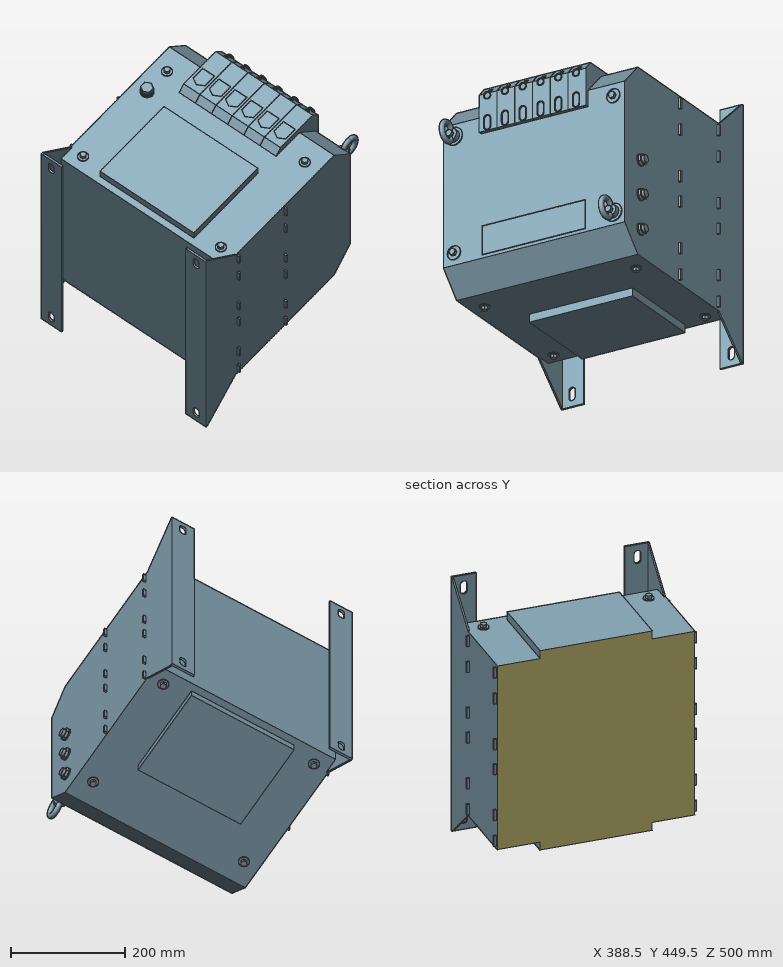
import cadquery as cq


WIDTH = 371.0
HALF_WIDTH = WIDTH / 2
HALF_HEIGHT = 181.0
FRONT_Y = 51.5
BACK_Y = 402.5
BACK_CHAMFER = 45.0

SHEET = 3.0
FLANGE_THICKNESS = 4.0
FLANGE_WIDTH = 46.0
FOOT_HALF_HEIGHT = 250.0
FLARE_START_Y = 82.5
SLOT_X = 163.0
SLOT_Z = 225.5
SLOT_LENGTH = 25.5
SLOT_WIDTH = 13.0

TAB_Y = (88.5, 219.0)
TAB_Z = (24.5, 114.5, 165.5)
TAB_PROJECTION = 5.0
TAB_THICKNESS = 3.5
TAB_LENGTH = 20.5

COVER_HALF_WIDTH = 105.5
COVER_Y = (65.0, 243.5)
COVER_THICKNESS = 15.5


COVER_BOLT_X = 155.0
COVER_BOLT_Y = (79.0, 313.0)
COVER_BOLT_WASHER = (19.5, 2.0)
COVER_BOLT_HEAD = (12.0, 6.0)

PLUG_X = -154.5
PLUG_Y = 257.0
PLUG_BASE = (23.5, 2.5)
PLUG_COLLAR = (25.0, 3.0)
PLUG_NECK = (23.0, 2.0)
PLUG_HEAD = (23.0, 8.0)

EARTH_STUD_Y = 350.0
EARTH_STUD_TOP_Z = 4.0
EARTH_STUD_PITCH = 67.0
EARTH_STUD_COUNT = 3
EARTH_WASHER = (22.0, 2.0)
EARTH_NUT = (22.0, 5.0)
EARTH_STUD = (14.5, 5.5)

BACK_FASTENER_X = 163.0
BACK_FASTENER_Z = 112.5
EYE_TOP_Y = 449.5
EYE_RING_RADIUS = 17.5
EYE_WIRE_RADIUS = 5.0
EYE_WASHER = (34.0, 2.0)
EYE_COLLAR = (23.5, 10.5)
EYE_STUD = (13.0, 7.0)
BACK_WASHER = (26.5, 2.0)
BACK_HEAD = (13.0, 6.0)

PLATE_Z = (-130.0, -74.5)
PLATE_THICKNESS = 2.0

TERMINAL_COUNT = 6
BLOCK_LENGTH = 218.0
TERMINAL_PITCH = BLOCK_LENGTH / TERMINAL_COUNT
BLOCK_LEFT_X = -110.5
BLOCK_FRONT_Y = 292.0
BLOCK_BACK_Y = 410.0
BLOCK_BOTTOM_Z = 104.5
BLOCK_TOP_Z = 193.5
BLOCK_BACK_CHAMFER_Y = 16.0
BLOCK_BACK_CHAMFER_Z = 17.5
JOINT_WIDTH = 0.3
JOINT_DEPTH = 0.5
WINDOW_WIDTH = 26.5
WINDOW_BACK_Y = 351.5
WINDOW_SHOULDER_Y = 325.0
WINDOW_TIP_Y = 317.5
WINDOW_DEPTH = 1.0
MARK_WIDTH = 7.0
MARK_HEIGHT = 6.0
MARK_DEPTH = 1.0
BUTTON_STEM = (11.0, 2.5)
BUTTON_CAP = (14.0, 1.5)
BUTTON_Z = 170.5
LEVER_Z = 118.5
LEVER_LENGTH = 29.0


def box(x_range, y_range, z_range):
    size = [high - low for low, high in (x_range, y_range, z_range)]
    corner = (x_range[0], y_range[0], z_range[0])
    return cq.Workplane("XY").box(*size, centered=False).translate(corner)


def face_plane(origin, outward):
    """Plane on an outer face; its local x is world Y on a side face and world X elsewhere."""
    local_x = (0, 1, 0) if outward[0] else (1, 0, 0)
    return cq.Plane(origin=origin, xDir=local_x, normal=outward)


def disc(plane, base, size):
    diameter, height = size
    return cq.Workplane(plane).workplane(offset=base).circle(diameter / 2).extrude(height)


def hexagon(plane, base, size, turn=0):
    across_corners, height = size
    prism = cq.Workplane(plane).workplane(offset=base).transformed(rotate=(0, 0, turn))
    return prism.polygon(6, across_corners).extrude(height)


def bolt(plane, washer, head):
    return disc(plane, 0, washer).union(hexagon(plane, washer[1], head))


def side_outline(plane, foot):
    """Chamfered side profile in Y and Z; `foot` lists the points of its upper front end."""
    upper = foot + [
        (BACK_Y - BACK_CHAMFER, HALF_HEIGHT),
        (BACK_Y, HALF_HEIGHT - BACK_CHAMFER),
    ]
    lower = [(y, -z) for y, z in reversed(upper)]
    return cq.Workplane(plane).polyline(upper + lower).close()


def make_housing():
    core = side_outline("YZ", [(FRONT_Y, HALF_HEIGHT)])
    return core.extrude(HALF_WIDTH - SHEET, both=True)


def make_side_bracket(side):
    """Flared side sheet with a slotted mounting flange; `side` is -1 or 1."""
    flared_foot = [
        (0, FOOT_HALF_HEIGHT),
        (FLANGE_THICKNESS, FOOT_HALF_HEIGHT),
        (FLARE_START_Y, HALF_HEIGHT),
    ]
    outer_x = side * HALF_WIDTH
    sheet = side_outline("YZ", flared_foot).extrude(-side * SHEET).translate((outer_x, 0, 0))
    flange_x = sorted((outer_x, outer_x - side * FLANGE_WIDTH))
    foot_z = (-FOOT_HALF_HEIGHT, FOOT_HALF_HEIGHT)
    flange = box(flange_x, (0, FLANGE_THICKNESS), foot_z)
    slots = (
        cq.Workplane("XZ")
        .pushPoints([(side * SLOT_X, SLOT_Z), (side * SLOT_X, -SLOT_Z)])
        .slot2D(SLOT_LENGTH, SLOT_WIDTH, 90)
        .extrude(-FLANGE_THICKNESS)
    )
    return sheet.union(flange.cut(slots))


def make_tabs():
    full_width = WIDTH + 2 * TAB_PROJECTION
    centers = [(y, sign * z) for y in TAB_Y for z in TAB_Z for sign in (-1, 1)]
    bars = cq.Workplane("YZ").pushPoints(centers).rect(TAB_THICKNESS, TAB_LENGTH)
    return bars.extrude(full_width / 2, both=True)


def make_covers():
    cover_reach = HALF_HEIGHT + COVER_THICKNESS
    cover_x = (-COVER_HALF_WIDTH, COVER_HALF_WIDTH)
    upper = box(cover_x, COVER_Y, (HALF_HEIGHT, cover_reach))
    lower = box(cover_x, COVER_Y, (-cover_reach, -HALF_HEIGHT))
    return [upper, lower]


def make_cover_bolts():
    bolts = []
    for side in (-1, 1):
        for x in (-COVER_BOLT_X, COVER_BOLT_X):
            for y in COVER_BOLT_Y:
                plane = face_plane((x, y, side * HALF_HEIGHT), (0, 0, side))
                bolts.append(bolt(plane, COVER_BOLT_WASHER, COVER_BOLT_HEAD))
    return bolts


def make_plug():
    plane = face_plane((PLUG_X, PLUG_Y, HALF_HEIGHT), (0, 0, 1))
    plug = disc(plane, 0, PLUG_BASE)
    height = PLUG_BASE[1]
    for section in (PLUG_COLLAR, PLUG_NECK):
        plug = plug.union(disc(plane, height, section))
        height += section[1]
    return plug.union(hexagon(plane, height, PLUG_HEAD, turn=90))


def make_earth_studs():
    studs = []
    for index in range(EARTH_STUD_COUNT):
        z = EARTH_STUD_TOP_Z - index * EARTH_STUD_PITCH
        plane = face_plane((-HALF_WIDTH, EARTH_STUD_Y, z), (-1, 0, 0))
        nut_base = EARTH_WASHER[1]
        stud_base = nut_base + EARTH_NUT[1]
        studs.append(disc(plane, 0, EARTH_WASHER))
        studs.append(hexagon(plane, nut_base, EARTH_NUT, turn=90))
        studs.append(disc(plane, stud_base, EARTH_STUD))
    return studs


def make_eye_bolt(x, z):
    plane = face_plane((x, BACK_Y, z), (0, 1, 0))
    collar_base = EYE_WASHER[1]
    stud_base = collar_base + EYE_COLLAR[1]
    shank = disc(plane, 0, EYE_WASHER)
    shank = shank.union(disc(plane, collar_base, EYE_COLLAR))
    shank = shank.union(hexagon(plane, stud_base, EYE_STUD))
    ring_y = EYE_TOP_Y - EYE_WIRE_RADIUS - EYE_RING_RADIUS
    ring_center = cq.Vector(x, ring_y, z)
    ring = cq.Solid.makeTorus(EYE_RING_RADIUS, EYE_WIRE_RADIUS, ring_center, cq.Vector(1, 0, 0))
    return shank.union(cq.Workplane(ring))


def make_back_fasteners():
    fasteners = []
    for side in (-1, 1):
        x = side * BACK_FASTENER_X
        z = side * BACK_FASTENER_Z
        fasteners.append(make_eye_bolt(x, z))
        plain_plane = face_plane((x, BACK_Y, -z), (0, 1, 0))
        fasteners.append(bolt(plain_plane, BACK_WASHER, BACK_HEAD))
    return fasteners


def make_back_plate():
    plate_x = (-COVER_HALF_WIDTH, COVER_HALF_WIDTH)
    return box(plate_x, (BACK_Y, BACK_Y + PLATE_THICKNESS), PLATE_Z)


def block_profile(inset=0):
    """Y-Z section of the terminal block, optionally shrunk inward by `inset`."""
    step = BLOCK_TOP_Z - HALF_HEIGHT
    section = (
        cq.Workplane("YZ")
        .moveTo(BLOCK_FRONT_Y, BLOCK_BOTTOM_Z)
        .lineTo(BLOCK_FRONT_Y, HALF_HEIGHT)
        .lineTo(BLOCK_FRONT_Y + step, BLOCK_TOP_Z)
        .lineTo(BLOCK_BACK_Y - BLOCK_BACK_CHAMFER_Y, BLOCK_TOP_Z)
        .lineTo(BLOCK_BACK_Y, BLOCK_TOP_Z - BLOCK_BACK_CHAMFER_Z)
        .lineTo(BLOCK_BACK_Y, BLOCK_BOTTOM_Z)
        .close()
    )
    return section.offset2D(-inset) if inset else section


def make_window(x):
    """Shallow pentagonal recess in the top of a terminal, pointing to the front."""
    half = WINDOW_WIDTH / 2
    outline = [
        (x - half, WINDOW_BACK_Y),
        (x + half, WINDOW_BACK_Y),
        (x + half, WINDOW_SHOULDER_Y),
        (x, WINDOW_TIP_Y),
        (x - half, WINDOW_SHOULDER_Y),
    ]
    top = cq.Workplane("XY", origin=(0, 0, BLOCK_TOP_Z))
    return top.polyline(outline).close().extrude(-WINDOW_DEPTH)


def make_mark(x):
    """Short shallow recess in the middle of a terminal's sloping back edge."""
    middle_y = BLOCK_BACK_Y - BLOCK_BACK_CHAMFER_Y / 2
    middle_z = BLOCK_TOP_Z - BLOCK_BACK_CHAMFER_Z / 2
    slope = face_plane((x, middle_y, middle_z), (0, BLOCK_BACK_CHAMFER_Z, BLOCK_BACK_CHAMFER_Y))
    return cq.Workplane(slope).rect(MARK_WIDTH, MARK_HEIGHT).extrude(-MARK_DEPTH)


def make_button(x):
    """Round button with an overhanging cap on the back of a terminal."""
    plane = face_plane((x, BLOCK_BACK_Y, BUTTON_Z), (0, 1, 0))
    return disc(plane, 0, BUTTON_STEM).union(disc(plane, BUTTON_STEM[1], BUTTON_CAP))


def make_lever(x):
    """Upright rounded pad on the back of a terminal, stepped like the button."""
    plane = face_plane((x, BLOCK_BACK_Y, LEVER_Z), (0, 1, 0))
    stem_width, stem_height = BUTTON_STEM
    cap_width, cap_height = BUTTON_CAP
    stem_length = LEVER_LENGTH - (cap_width - stem_width)
    stem = cq.Workplane(plane).slot2D(stem_length, stem_width, 90).extrude(stem_height)
    cap_base = cq.Workplane(plane).workplane(offset=stem_height)
    return stem.union(cap_base.slot2D(LEVER_LENGTH, cap_width, 90).extrude(cap_height))


def make_terminal_block():
    block = block_profile().extrude(BLOCK_LENGTH).translate((BLOCK_LEFT_X, 0, 0))
    rim = block_profile().extrude(JOINT_WIDTH)
    joint = rim.cut(block_profile(JOINT_DEPTH).extrude(JOINT_WIDTH))
    for index in range(1, TERMINAL_COUNT):
        joint_x = BLOCK_LEFT_X + index * TERMINAL_PITCH - JOINT_WIDTH / 2
        block = block.cut(joint.translate((joint_x, 0, 0)))
    for index in range(TERMINAL_COUNT):
        x = BLOCK_LEFT_X + (index + 0.5) * TERMINAL_PITCH
        block = block.cut(make_window(x)).cut(make_mark(x))
        block = block.union(make_button(x)).union(make_lever(x))
    return block


features = [make_side_bracket(-1), make_side_bracket(1), make_tabs(), make_plug()]
features += make_covers()
features += make_cover_bolts()
features += make_earth_studs()
features += make_back_fasteners()
features += [make_back_plate(), make_terminal_block()]

result = make_housing()
for feature in features:
    result = result.union(feature)